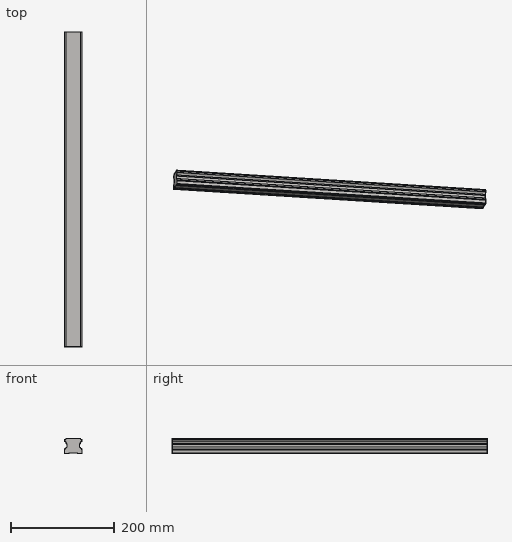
import cadquery as cq
import math

length = 610.0
width = 34.0
height = 29.0

top_width = 27.5
neck_width = top_width
waist_width = 24.5

upper_groove_depth = 2.5
head_bottom_depth = 5.5
lower_groove_depth = 10.0
waist_top_depth = 11.5
waist_bottom_depth = 16.5
base_shoulder_depth = 21.0
base_side_depth = 22.5

shoulder_inset = 0.5
foot_chamfer = 0.9
relief_width = 16.0
relief_depth = 0.5

groove_bow = 0.9


def groove_middle(start, end):
    """Middle of a ball groove arc, on the right of the way from start to end."""
    run = end[0] - start[0]
    rise = end[1] - start[1]
    chord = math.hypot(run, rise)
    middle_x = (start[0] + end[0]) / 2 + groove_bow * rise / chord
    middle_z = (start[1] + end[1]) / 2 - groove_bow * run / chord
    return middle_x, middle_z


top_z = height / 2
bottom_z = -height / 2
side_x = width / 2
waist_x = waist_width / 2
relief_x = relief_width / 2

top_edge = (top_width / 2, top_z)
head_upper = (side_x, top_z - upper_groove_depth)
head_lower = (side_x, top_z - head_bottom_depth)
neck = (neck_width / 2, top_z - lower_groove_depth)
waist_top = (waist_x, top_z - waist_top_depth)
waist_bottom = (waist_x, top_z - waist_bottom_depth)
base_shoulder = (side_x - shoulder_inset, top_z - base_shoulder_depth)
base_side = (side_x, top_z - base_side_depth)

half_section = (
    cq.Workplane("XZ", origin=(0, length / 2, 0))
    .moveTo(0, top_z)
    .lineTo(*top_edge)
    .threePointArc(groove_middle(top_edge, head_upper), head_upper)
    .lineTo(*head_lower)
    .threePointArc(groove_middle(head_lower, neck), neck)
    .lineTo(*waist_top)
    .lineTo(*waist_bottom)
    .lineTo(*base_shoulder)
    .lineTo(*base_side)
    .lineTo(side_x, bottom_z + foot_chamfer)
    .lineTo(side_x - foot_chamfer, bottom_z)
    .lineTo(relief_x, bottom_z)
    .lineTo(relief_x, bottom_z + relief_depth)
    .lineTo(0, bottom_z + relief_depth)
    .close()
)

half_rail = half_section.extrude(length)
result = half_rail.union(half_rail.mirror("YZ")).clean()